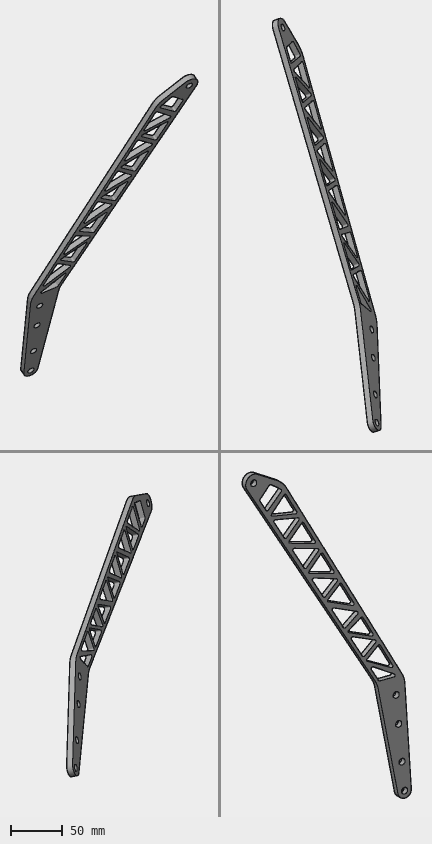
import cadquery as cq
import math

thickness = 6.5
hole_diameter = 6.8

lower_boss = (0, 0)
lower_boss_radius = 8.0
upper_boss = (174.5, 358.0)
upper_boss_radius = 9.5

back_elbow = (31.5, 117.5)
front_elbow = (0, 117.5)
shoulder = (140.5, 351.5)
outline_corner_radius = 22.5

blade_hole_heights = [0, 30.8, 71.0, 101.7]
blade_hole_lean = 0.095

back_rail = ((29.3, 120), (163.0, 331.0))
front_rail = ((5.5, 120), (142.0, 346.0))
window_corner_radius = 1.5

back_apex_windows = [
    (319.5, 339.8, 315.5),
    (287.2, 306.0, 279.5),
    (250.8, 269.0, 243.3),
    (216.5, 232.8, 204.5),
    (179.5, 192.2, 168.0),
    (145.0, 159.0, 129.5),
]
front_apex_windows = [
    (310.5, 315.0, 291.7),
    (273.3, 281.0, 255.3),
    (237.0, 245.0, 220.7),
    (197.5, 209.5, 183.5),
    (163.3, 174.5, 149.0),
]

upper_window_back_heights = (339.0, 325.0)
upper_window_top = (155.8, 353)
upper_window_front = (141.5, 344.0)
lower_window_back_heights = (139.3, 120.5)
lower_window_tip = (6.8, 121.3)


def tangent_point(centre, radius, point, side):
    """Touching point on a circle of the tangent from an outside point; side is +1 or -1."""
    dy = point[0] - centre[0]
    dz = point[1] - centre[1]
    angle = math.atan2(dz, dy) + side * math.acos(radius / math.hypot(dy, dz))
    return (centre[0] + radius * math.cos(angle), centre[1] + radius * math.sin(angle))


def on_rail(rail, height):
    """Point of a rail edge at the given height."""
    (y0, z0), (y1, z1) = rail
    return (y0 + (y1 - y0) * (height - z0) / (z1 - z0), height)


def plate(outline):
    return outline.close().extrude(thickness / 2, both=True)


def arm_blank():
    lower_front = tangent_point(lower_boss, lower_boss_radius, front_elbow, 1)
    lower_back = tangent_point(lower_boss, lower_boss_radius, back_elbow, -1)
    upper_back = tangent_point(upper_boss, upper_boss_radius, back_elbow, 1)
    upper_front = tangent_point(upper_boss, upper_boss_radius, shoulder, -1)
    lower_end = (lower_boss[0], lower_boss[1] - lower_boss_radius)
    diagonal = upper_boss_radius * math.sqrt(0.5)
    upper_end = (upper_boss[0] + diagonal, upper_boss[1] + diagonal)
    outline = (
        cq.Workplane("YZ")
        .moveTo(*lower_front)
        .threePointArc(lower_end, lower_back)
        .lineTo(*back_elbow)
        .lineTo(*upper_back)
        .threePointArc(upper_end, upper_front)
        .lineTo(*shoulder)
        .lineTo(*front_elbow)
    )
    body = plate(outline)
    for corner in (back_elbow, front_elbow, shoulder):
        body = body.edges(cq.NearestToPointSelector((0, *corner))).fillet(outline_corner_radius)
    return body


def window(corners):
    return plate(cq.Workplane("YZ").polyline(corners)).edges("|X").fillet(window_corner_radius)


def triangular_window(apex_rail, opposite_rail, heights):
    apex, upper, lower = heights
    return window([on_rail(apex_rail, apex), on_rail(opposite_rail, upper), on_rail(opposite_rail, lower)])


def end_windows():
    upper_back_corners = [on_rail(back_rail, height) for height in upper_window_back_heights]
    lower_back_corners = [on_rail(back_rail, height) for height in lower_window_back_heights]
    upper = window([upper_window_top, *upper_back_corners, upper_window_front])
    lower = window([*lower_back_corners, lower_window_tip])
    return [upper, lower]


def holes():
    blade_centres = [(blade_hole_lean * height, height) for height in blade_hole_heights]
    drill = cq.Workplane("YZ").pushPoints([*blade_centres, upper_boss])
    return drill.circle(hole_diameter / 2).extrude(thickness, both=True)


result = arm_blank().cut(holes())
for heights in back_apex_windows:
    result = result.cut(triangular_window(back_rail, front_rail, heights))
for heights in front_apex_windows:
    result = result.cut(triangular_window(front_rail, back_rail, heights))
for end_window in end_windows():
    result = result.cut(end_window)